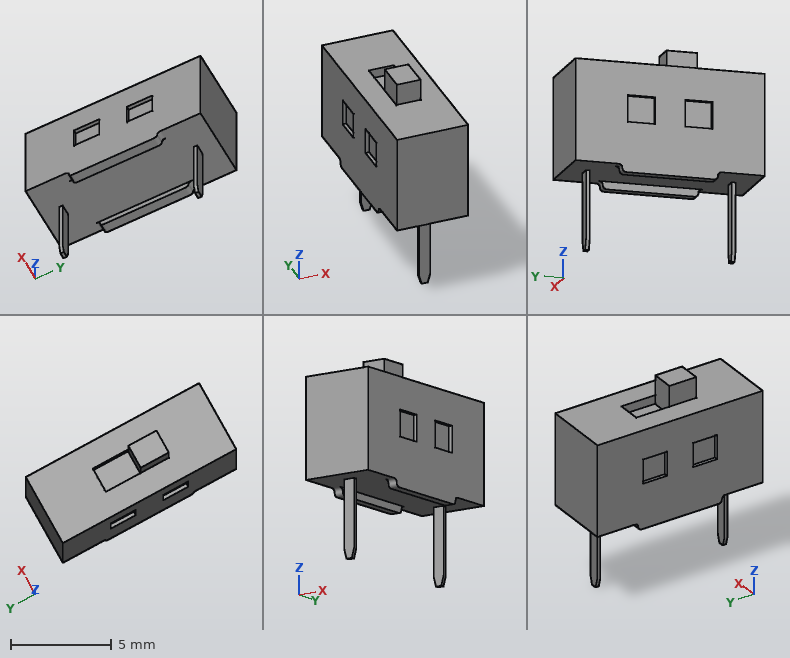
import cadquery as cq


HOUSING_WIDTH = 3.84
HOUSING_LENGTH = 9.9
HOUSING_HEIGHT = 5.3

FOOT_WIDTH = 0.51
FOOT_LENGTH = 5.0
FOOT_HEIGHT = 0.4
FOOT_RADIUS = FOOT_HEIGHT / 2

SLOT_WIDTH = 1.35
SLOT_LENGTH = 3.61
SLOT_DEPTH = 0.5
KNOB_WIDTH = 1.28
KNOB_LENGTH = 1.6
KNOB_RISE = 1.17

WINDOW_LENGTH = 1.42
WINDOW_HEIGHT = 1.39
WINDOW_DEPTH = 0.2
WINDOW_PITCH = 3.0
WINDOW_TOP_GAP = 1.69

OVERALL_HEIGHT = 10.55
PIN_LENGTH = OVERALL_HEIGHT - HOUSING_HEIGHT - KNOB_RISE
PIN_WIDTH = 0.61
PIN_THICKNESS = 0.2
PIN_TIP_WIDTH = 0.33
PIN_TAPER = 0.51
PIN_PITCH = 7.62

SIDES = (-1, 1)


def make_foot(side):
    """Rail flush with the side wall, its ends an S-curve of two quarter arcs."""
    half = FOOT_LENGTH / 2
    r = FOOT_RADIUS
    center_x = side * (HOUSING_WIDTH - FOOT_WIDTH) / 2
    return (
        cq.Workplane("YZ", origin=(center_x, 0, 0))
        .moveTo(-half - r, 0)
        .radiusArc((-half, -r), r)
        .radiusArc((-half + r, -2 * r), -r)
        .lineTo(half - r, -2 * r)
        .radiusArc((half, -r), -r)
        .radiusArc((half + r, 0), r)
        .close()
        .extrude(FOOT_WIDTH / 2, both=True)
    )


def make_windows():
    """Cutters for the recessed windows, two in each long side wall."""
    center_z = HOUSING_HEIGHT - WINDOW_TOP_GAP - WINDOW_HEIGHT / 2
    center_x = (HOUSING_WIDTH - WINDOW_DEPTH) / 2
    places = [
        (x_side * center_x, y_side * WINDOW_PITCH / 2, center_z)
        for x_side in SIDES
        for y_side in SIDES
    ]
    return (
        cq.Workplane("XY")
        .pushPoints(places)
        .box(WINDOW_DEPTH, WINDOW_LENGTH, WINDOW_HEIGHT)
    )


def make_knob():
    """Actuator rising from the slot floor against the -Y end of the slot."""
    center_y = (KNOB_LENGTH - SLOT_LENGTH) / 2
    return (
        cq.Workplane("XY", origin=(0, center_y, HOUSING_HEIGHT - SLOT_DEPTH))
        .rect(KNOB_WIDTH, KNOB_LENGTH)
        .extrude(SLOT_DEPTH + KNOB_RISE)
    )


def make_housing():
    """Block with feet, windows, and the slot with its actuator knob."""
    housing = (
        cq.Workplane("XY")
        .rect(HOUSING_WIDTH, HOUSING_LENGTH)
        .extrude(HOUSING_HEIGHT)
    )
    for side in SIDES:
        housing = housing.union(make_foot(side))
    slot = (
        cq.Workplane("XY", origin=(0, 0, HOUSING_HEIGHT))
        .rect(SLOT_WIDTH, SLOT_LENGTH)
        .extrude(-SLOT_DEPTH)
    )
    return housing.cut(slot).cut(make_windows()).union(make_knob())


def make_pin(side):
    """Flat pin hanging from the housing underside, tapered in width at its tip."""
    center_y = side * PIN_PITCH / 2
    half = PIN_WIDTH / 2
    tip_half = PIN_TIP_WIDTH / 2
    return (
        cq.Workplane("XZ", origin=(0, center_y, 0))
        .polyline([
            (-half, 0),
            (half, 0),
            (half, PIN_TAPER - PIN_LENGTH),
            (tip_half, -PIN_LENGTH),
            (-tip_half, -PIN_LENGTH),
            (-half, PIN_TAPER - PIN_LENGTH),
        ])
        .close()
        .extrude(PIN_THICKNESS / 2, both=True)
    )


housing = make_housing()
pins = [make_pin(side) for side in SIDES]

result = cq.Compound.makeCompound([housing.solids().val(), *[pin.solids().val() for pin in pins]])